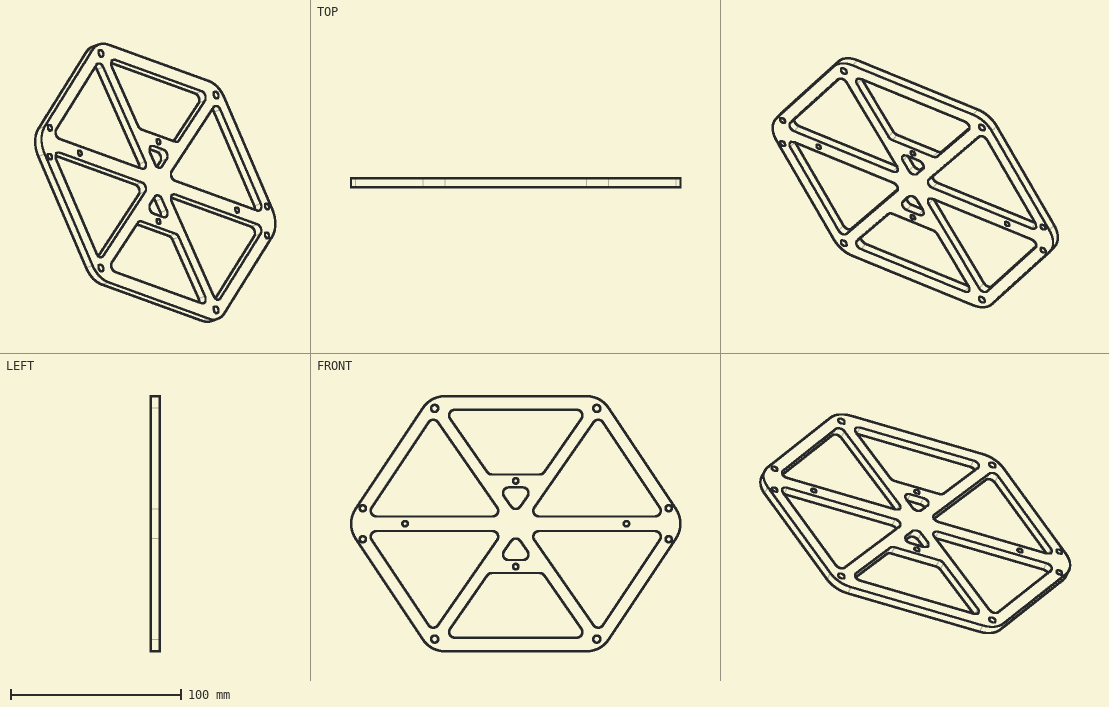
import cadquery as cq
import math

thickness = 5.5
length = 193.5
height = 150.0
outer_radius = 15.7
rim_slope = 1.5

top_rim_width = 8.1
side_rim_width = 7.5
cross_bar_width = 8.7
spoke_width = 7.2
spoke_slope = 1.44
window_radius = 3.3
bridge_bottom = 21.3
bridge_top = 29.0

corner_hole_x, corner_hole_z, corner_hole_diameter = 47.5, 67.7, 4.0
end_hole_x, end_hole_z, end_hole_diameter = 89.8, 9.0, 3.5
bar_hole_x = 65.0
bridge_hole_z = 25.1
small_hole_diameter = 3.0

half_height = height / 2
rim_angle = math.atan(rim_slope)
spoke_angle = math.atan(spoke_slope)
end_trim = outer_radius * (1 / math.sin(rim_angle) - 1)
hexagon_half_length = length / 2 + end_trim
rim_inner_half_length = hexagon_half_length - side_rim_width / math.sin(rim_angle)
spoke_half_rise = spoke_width / 2 / math.cos(spoke_angle)


def prism(points, corner_radius):
    """Plate-thick prism with rounded corners, centred on the XZ plane."""
    solid = cq.Workplane("XZ").polyline(points).close().extrude(thickness / 2, both=True)
    return solid.edges("|Y").fillet(corner_radius)


def spoke_upper_x(z):
    """X of the spoke edge facing the trapezoidal window."""
    return (z - spoke_half_rise) / spoke_slope


def spoke_lower_x(z):
    """X of the spoke edge facing the triangular window."""
    return (z + spoke_half_rise) / spoke_slope


def rim_inner_x(z):
    """X of the inner edge of the sloping rim."""
    return rim_inner_half_length - z / rim_slope


def plate():
    shoulder_x = hexagon_half_length - half_height / rim_slope
    return prism(
        [
            (-hexagon_half_length, 0),
            (-shoulder_x, half_height),
            (shoulder_x, half_height),
            (hexagon_half_length, 0),
            (shoulder_x, -half_height),
            (-shoulder_x, -half_height),
        ],
        outer_radius,
    )


def side_window():
    """Triangle between the cross bar, a spoke and the sloping rim."""
    bottom = cross_bar_width / 2
    apex_z = (rim_inner_half_length - spoke_half_rise / spoke_slope) / (1 / spoke_slope + 1 / rim_slope)
    return prism(
        [
            (spoke_lower_x(bottom), bottom),
            (rim_inner_x(bottom), bottom),
            (rim_inner_x(apex_z), apex_z),
        ],
        window_radius,
    )


def top_window():
    """Trapezoid between two spokes, the bridge and the straight rim."""
    top = half_height - top_rim_width
    return prism(
        [
            (-spoke_upper_x(bridge_top), bridge_top),
            (spoke_upper_x(bridge_top), bridge_top),
            (spoke_upper_x(top), top),
            (-spoke_upper_x(top), top),
        ],
        window_radius,
    )


def hub_window():
    """Small triangle between two spokes and the bridge."""
    half_width = spoke_upper_x(bridge_bottom)
    return prism(
        [(0, spoke_half_rise), (half_width, bridge_bottom), (-half_width, bridge_bottom)],
        window_radius,
    )


def holes(centres, diameter):
    return cq.Workplane("XZ").pushPoints(centres).circle(diameter / 2).extrude(thickness, both=True)


def four_corners(x, z):
    return [(sx * x, sz * z) for sx in (-1, 1) for sz in (-1, 1)]


result = plate()

right_window = side_window()
for upper_window in (right_window, right_window.mirror("YZ"), top_window(), hub_window()):
    result = result.cut(upper_window).cut(upper_window.mirror("XY"))

result = result.cut(holes(four_corners(corner_hole_x, corner_hole_z), corner_hole_diameter))
result = result.cut(holes(four_corners(end_hole_x, end_hole_z), end_hole_diameter))
small_hole_centres = [
    (-bar_hole_x, 0),
    (bar_hole_x, 0),
    (0, -bridge_hole_z),
    (0, bridge_hole_z),
]
result = result.cut(holes(small_hole_centres, small_hole_diameter))